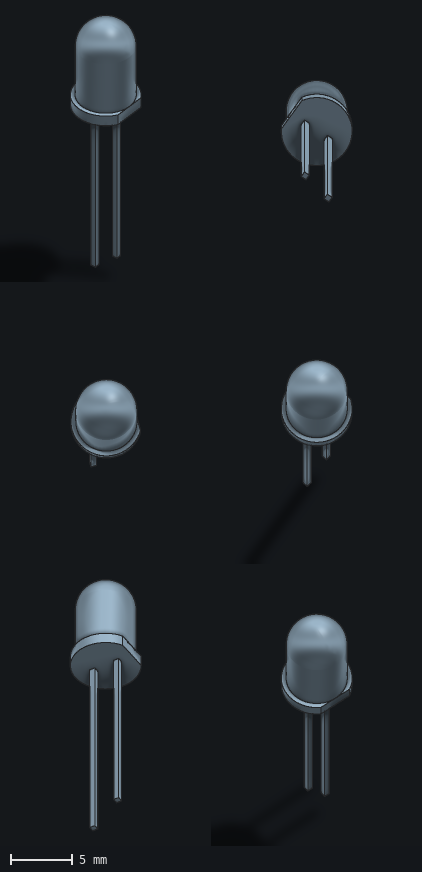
import cadquery as cq

body_diameter = 5.0
flange_diameter = 5.8
flange_thickness = 1.0
barrel_height = 5.0
lead_width = 0.48
lead_spacing = 2.27
long_lead_length = 17.0
short_lead_length = 15.0

body_radius = body_diameter / 2
flange_radius = flange_diameter / 2
shoulder_z = flange_thickness + barrel_height
tip_z = shoulder_z + body_radius


def make_lens():
    """Barrel with a hemispherical dome, revolved about Z."""
    return (
        cq.Workplane("XZ")
        .lineTo(body_radius, 0)
        .lineTo(body_radius, shoulder_z)
        .radiusArc((0, tip_z), -body_radius)
        .close()
        .revolve(360, (0, 0), (0, 1))
    )


def make_flange():
    """Round rim with one flat on the +X side, tangent to the barrel."""
    rim = cq.Workplane("XY").circle(flange_radius).extrude(flange_thickness)
    keep_length = flange_radius + body_radius
    keep = cq.Workplane("XY").box(
        keep_length, flange_diameter, flange_thickness, centered=(False, True, False)
    )
    return rim.intersect(keep.translate((-flange_radius, 0, 0)))


def make_lead(x, length):
    """Square lead hanging down from the underside of the flange."""
    return cq.Workplane("XY").center(x, 0).rect(lead_width, lead_width).extrude(-length)


result = make_lens().union(make_flange())
for lead_x, lead_length in (
    (-lead_spacing / 2, long_lead_length),
    (lead_spacing / 2, short_lead_length),
):
    result = result.union(make_lead(lead_x, lead_length))